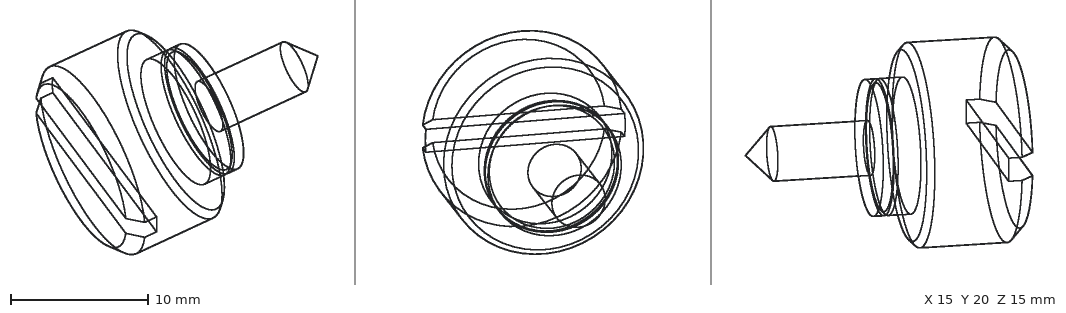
import cadquery as cq

head_radius = 7.5
head_length = 8
slotted_end_chamfer = 1
inner_end_chamfer = 0.5
slot_width = 1.75
slot_depth = 2
collar_radius = 5
collar_length = 2
collar_chamfer = 0.3
disc_thickness = 0.8
pin_radius = 2
overall_length = 20

collar_end = head_length + collar_length
disc_end = collar_end + disc_thickness
tip_start = overall_length - pin_radius


def revolve_about_y(outline):
    """Turn a closed (radius, y) outline around the Y axis."""
    return cq.Workplane("XY").polyline(outline).close().revolve(360, (0, 0, 0), (0, 1, 0))


def make_slotted_head():
    """Chamfered head and collar with a screwdriver slot across its face."""
    head = revolve_about_y([
        (0, 0),
        (head_radius - slotted_end_chamfer, 0),
        (head_radius, slotted_end_chamfer),
        (head_radius, head_length - inner_end_chamfer),
        (head_radius - inner_end_chamfer, head_length),
        (collar_radius, head_length),
        (collar_radius, collar_end - collar_chamfer),
        (collar_radius - collar_chamfer, collar_end),
        (0, collar_end),
    ])
    slot = cq.Workplane("XY").box(
        2 * head_radius, slot_depth, slot_width, centered=(True, False, True)
    )
    return head.cut(slot)


def make_flanged_pin():
    """Pointed pin on a flat disc that rests against the collar."""
    return revolve_about_y([
        (0, collar_end),
        (collar_radius, collar_end),
        (collar_radius, disc_end),
        (pin_radius, disc_end),
        (pin_radius, tip_start),
        (0, overall_length),
    ])


slotted_head = make_slotted_head()
flanged_pin = make_flanged_pin()

result = cq.Compound.makeCompound([slotted_head.val(), flanged_pin.val()])